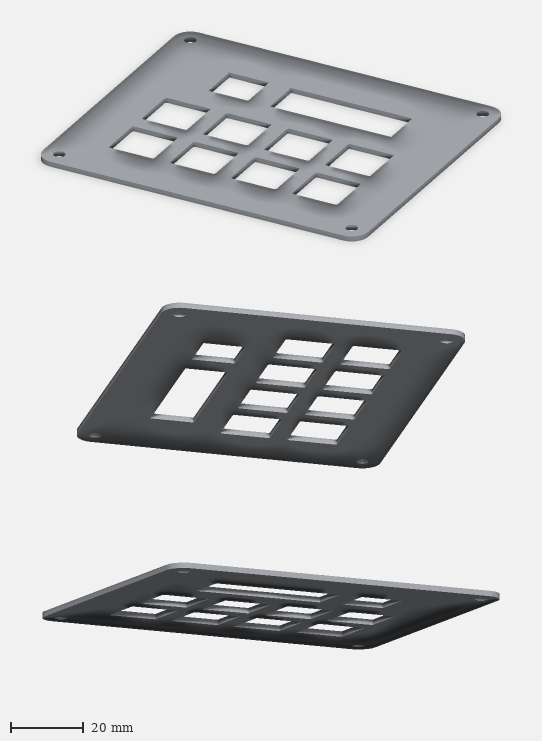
import cadquery as cq

plate_length = 101.1
plate_width = 85.8
plate_thickness = 1.5
corner_radius = 5.1

mounting_hole_diameter = 3.4
hole_spacing_x = plate_length - 2 * corner_radius
hole_spacing_y = plate_width - 2 * corner_radius

key_columns = 4
key_rows = 2
key_pitch = 19.0
key_size = 14.1
key_corner_radius = 0.5
key_grid_center_y = -11.4

upper_openings_y = 20.2
square_opening_length = 12.3
square_opening_width = 12.0
square_opening_x = -20.9
display_length = 37.7
display_width = 12.2
display_x = 10.9


def make_plate():
    """Flat plate with rounded vertical corners."""
    plate = cq.Workplane("XY").rect(plate_length, plate_width).extrude(plate_thickness)
    return plate.edges("|Z").fillet(corner_radius)


def opening_cutter(center_x, center_y, length, width):
    """Rectangular block that cuts an opening through the plate."""
    sketch = cq.Workplane("XY").center(center_x, center_y).rect(length, width)
    return sketch.extrude(plate_thickness)


def key_cutters():
    """Grid of round-cornered blocks, one for each key."""
    grid = cq.Workplane("XY").center(0, key_grid_center_y)
    grid = grid.rarray(key_pitch, key_pitch, key_columns, key_rows)
    return grid.rect(key_size, key_size).extrude(plate_thickness).edges("|Z").fillet(key_corner_radius)


def mounting_hole_cutters():
    """Four cylinders, one near each plate corner."""
    corners = cq.Workplane("XY").rarray(hole_spacing_x, hole_spacing_y, 2, 2)
    return corners.circle(mounting_hole_diameter / 2).extrude(plate_thickness)


result = (
    make_plate()
    .cut(mounting_hole_cutters())
    .cut(key_cutters())
    .cut(opening_cutter(square_opening_x, upper_openings_y, square_opening_length, square_opening_width))
    .cut(opening_cutter(display_x, upper_openings_y, display_length, display_width))
)